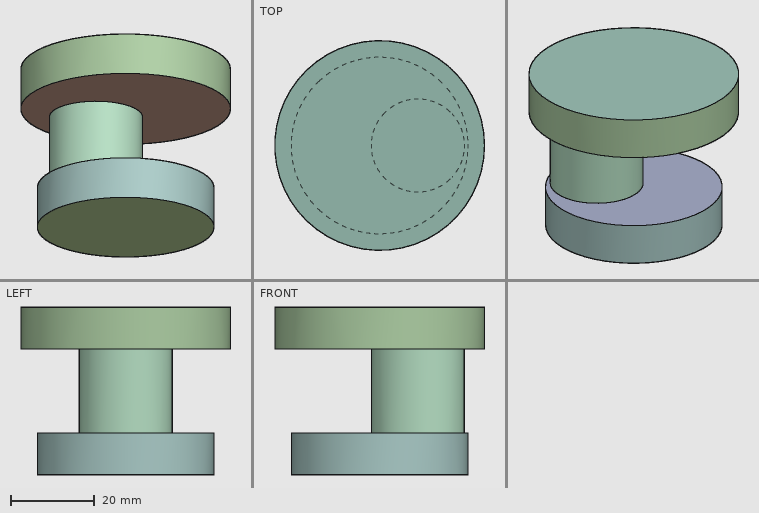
import cadquery as cq

upper_disc_diameter = 50.1
lower_disc_diameter = 42.2
disc_thickness = 10.0
pin_diameter = 22.25
pin_length = 20.0
pin_offset = 9.1

pin_base = disc_thickness
upper_disc_base = pin_base + pin_length


def make_disc(diameter, base):
    """Plain disc on the main axis with its underside at height base."""
    return cq.Workplane("XY").workplane(offset=base).circle(diameter / 2).extrude(disc_thickness)


def make_eccentric_pin():
    """Off-centre pin that spans the gap between the two discs."""
    return (
        cq.Workplane("XY")
        .workplane(offset=pin_base)
        .center(pin_offset, 0)
        .circle(pin_diameter / 2)
        .extrude(pin_length)
    )


lower_disc = make_disc(lower_disc_diameter, 0)
eccentric_pin = make_eccentric_pin()
upper_disc = make_disc(upper_disc_diameter, upper_disc_base)

result = cq.Compound.makeCompound([lower_disc.val(), eccentric_pin.val(), upper_disc.val()])